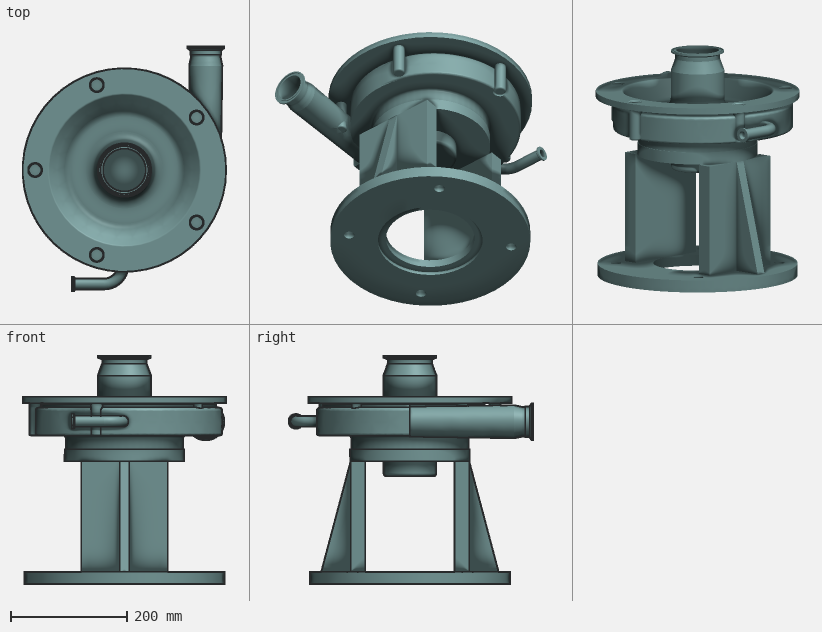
import cadquery as cq
import math


base_radius = 172.0
base_thickness = 21.0
base_bore_radius = 76.0
base_recess_radius = 90.0
base_recess_depth = 6.0
base_hole_radius = 9.0
base_hole_circle = 140.0
base_hole_angles = (45, 135, 225, 315)

leg_top = 211.0
leg_width = 149.0
leg_inner_y = 76.5
leg_outer_y = 102.0
rib_width = 16.6
rib_foot_y = 152.5

ring_radius = 103.0
ring_step_radius = 101.2
ring_step_z = 231.8
ring_flare = 4.0
hub_radius = 45.4
hub_bottom = 185.2
hub_fillet = 5.5

casing_bottom = 255.4
casing_top = 303.5
casing_top_fillet = 6.0
casing_bottom_fillet = 4.0
volute_start_radius = 137.5
volute_left_radius = 152.5
volute_front_radius = 160.0
volute_end_radius = 168.0
lid_inset = 10.0
lid_neck_inset = 13.0
lid_top = 309.0

flange_radius = 175.0
flange_bottom = 311.0
flange_top = 322.0
dish_rim_radius = 130.2
dish_depth = 32.0
dish_floor_radius = dish_rim_radius - dish_depth
dish_rim_fillet = 4.2
dish_floor_fillet = 14.5
dish_floor_z = flange_top - dish_depth

post_count = 5
post_radius = 10.0
post_circle = 153.4
post_start_angle = 36.0
post_foot_fillet = 3.0
post_notch_radius = 12.4
socket_radius = 10.8
socket_depth = 3.0
socket_chamfer = 1.4

suction_radius = 46.0
suction_root_fillet = 20.0
suction_taper_bottom = 357.9
suction_taper_top = 378.7
suction_neck_radius = 38.4
suction_ferrule_radius = 45.5
suction_ferrule_rim = 3.4
suction_ferrule_height = 6.5
suction_top = 392.5
suction_mouth_radius = 36.8
suction_mouth_bottom = 363.8
suction_chamber_radius = 38.5
suction_chamber_top = 349.5
suction_bore_floor = 270.0
groove_radius = 42.4
groove_width = 3.0
groove_depth = 1.6

outlet_x = 139.8
outlet_z = 279.0
outlet_root_radius = 26.0
outlet_body_radius = 28.7
outlet_body_end = 179.0
outlet_step_radius = 27.2
outlet_step_y = 186.5
outlet_weld_radius = 25.6
outlet_weld_start = 193.8
outlet_weld_end = 197.8
outlet_neck_radius = 26.6
outlet_ferrule_radius = 32.0
outlet_ferrule_rim = 3.0
outlet_ferrule_height = 6.5
outlet_end = 212.2
outlet_bore_radius = 23.8
outlet_groove_radius = 28.0

drain_z = 279.7
drain_radius = 9.5
drain_bore_radius = 7.0
drain_ferrule_radius = 12.7
drain_ferrule_thickness = 5.0
drain_ferrule_rim = 3.0
drain_front_y = -208.5
drain_y = drain_front_y + drain_ferrule_radius
drain_open_x = -90.2
drain_bend_start_x = -35.0
drain_bend_radius = 32.5
drain_root_y = -150.0


def cylinder(radius, bottom, top):
    return cq.Workplane("XY").workplane(offset=bottom).circle(radius).extrude(top - bottom)


def revolve_about_z(outline):
    """Revolve an outline drawn as radius and height on the XZ plane."""
    return outline.close().revolve(360, (0, 0, 0), (0, 1, 0))


def polar_points(radius, angles):
    return [(radius * math.cos(math.radians(a)), radius * math.sin(math.radians(a))) for a in angles]


post_angles = [post_start_angle + i * 360 / post_count for i in range(post_count)]
post_centres = polar_points(post_circle, post_angles)


def make_base():
    plate = cylinder(base_radius, 0, base_thickness)
    bore = cylinder(base_bore_radius, 0, base_thickness)
    recess = cylinder(base_recess_radius, 0, base_recess_depth)
    holes = (
        cq.Workplane("XY")
        .pushPoints(polar_points(base_hole_circle, base_hole_angles))
        .circle(base_hole_radius)
        .extrude(base_thickness)
    )
    return plate.cut(bore).cut(recess).cut(holes)


def make_leg(side):
    """Upright plate with a triangular rib; side is +1 for +Y and -1 for -Y."""
    plate = (
        cq.Workplane("XY")
        .workplane(offset=base_thickness)
        .center(0, side * (leg_inner_y + leg_outer_y) / 2)
        .rect(leg_width, leg_outer_y - leg_inner_y)
        .extrude(leg_top - base_thickness)
    )
    rib = (
        cq.Workplane("YZ")
        .moveTo(side * leg_outer_y, base_thickness)
        .lineTo(side * rib_foot_y, base_thickness)
        .lineTo(side * leg_outer_y, leg_top)
        .close()
        .extrude(rib_width / 2, both=True)
    )
    return plate.union(rib)


def make_bearing_ring():
    outline = (
        cq.Workplane("XZ")
        .moveTo(0, leg_top)
        .lineTo(ring_radius, leg_top)
        .lineTo(ring_radius, ring_step_z)
        .lineTo(ring_step_radius, ring_step_z)
        .lineTo(ring_step_radius, casing_bottom - ring_flare)
        .radiusArc((ring_step_radius + ring_flare, casing_bottom), ring_flare)
        .lineTo(0, casing_bottom)
    )
    hub = cylinder(hub_radius, hub_bottom, leg_top).faces("<Z").edges().fillet(hub_fillet)
    return revolve_about_z(outline).union(hub)


def make_volute(inset, bottom, top):
    """Spiral disc whose radius grows from +Y through -X and -Y to +X."""
    quarter_radii = [volute_start_radius, volute_left_radius, volute_front_radius, volute_end_radius]
    start = volute_start_radius - inset
    spiral = []
    for quarter, (near, far) in enumerate(zip(quarter_radii, quarter_radii[1:])):
        middle_angle = 90 * quarter + 135
        spiral += polar_points((near + far) / 2 - inset, [middle_angle])
        spiral += polar_points(far - inset, [middle_angle + 45])
    return (
        cq.Workplane("XY")
        .workplane(offset=bottom)
        .moveTo(0, start)
        .spline(spiral, includeCurrent=True)
        .lineTo(start, 0)
        .threePointArc(polar_points(start, [45])[0], (0, start))
        .close()
        .extrude(top - bottom)
    )


def make_casing():
    casing = make_volute(0, casing_bottom, casing_top)
    casing = casing.faces(">Z").edges("%BSPLINE").fillet(casing_top_fillet)
    casing = casing.faces("<Z").edges("%BSPLINE").fillet(casing_bottom_fillet)
    lid = make_volute(lid_inset, casing_top, lid_top)
    lid_neck = make_volute(lid_neck_inset, lid_top, flange_bottom)
    notch = cylinder(post_notch_radius, casing_bottom, flange_bottom).translate((-post_circle, 0, 0))
    return casing.union(lid).union(lid_neck).cut(notch)


def make_posts():
    return (
        cq.Workplane("XY")
        .workplane(offset=casing_bottom)
        .pushPoints(post_centres)
        .circle(post_radius)
        .extrude(flange_bottom - casing_bottom)
        .faces("<Z")
        .edges()
        .fillet(post_foot_fillet)
    )


def make_post_sockets():
    """Shallow chamfered recesses in the flange above the posts."""
    rim_radius = socket_radius + socket_chamfer
    socket = cylinder(socket_radius, flange_top - socket_depth, flange_top)
    rim = cq.Workplane("XY").add(
        cq.Solid.makeCone(
            socket_radius,
            rim_radius,
            socket_chamfer,
            pnt=cq.Vector(0, 0, flange_top - socket_chamfer),
        )
    )
    socket = socket.union(rim)
    sockets = cq.Workplane("XY")
    for x, y in post_centres:
        sockets = sockets.union(socket.translate((x, y, 0)))
    return sockets


def make_dish():
    """Ring-shaped recess between the flange rim and the suction nozzle."""
    wall_slope = math.radians(45)
    rim_tangent = dish_rim_fillet * math.tan(wall_slope / 2)
    floor_tangent = dish_floor_fillet * math.tan(wall_slope / 2)
    rim_slope = rim_tangent * math.cos(wall_slope)
    floor_slope = floor_tangent * math.cos(wall_slope)
    outline = (
        cq.Workplane("XZ")
        .moveTo(suction_radius, flange_top)
        .lineTo(suction_radius, dish_floor_z + suction_root_fillet)
        .radiusArc((suction_radius + suction_root_fillet, dish_floor_z), -suction_root_fillet)
        .lineTo(dish_floor_radius - floor_tangent, dish_floor_z)
        .radiusArc((dish_floor_radius + floor_slope, dish_floor_z + floor_slope), -dish_floor_fillet)
        .lineTo(dish_rim_radius - rim_slope, flange_top - rim_slope)
        .radiusArc((dish_rim_radius + rim_tangent, flange_top), dish_rim_fillet)
    )
    return revolve_about_z(outline)


def make_suction_nozzle():
    ferrule_base = suction_top - suction_ferrule_height
    outline = (
        cq.Workplane("XZ")
        .moveTo(0, flange_bottom)
        .lineTo(suction_radius, flange_bottom)
        .lineTo(suction_radius, suction_taper_bottom)
        .lineTo(suction_neck_radius, suction_taper_top)
        .lineTo(suction_neck_radius, ferrule_base)
        .lineTo(suction_ferrule_radius, suction_top - suction_ferrule_rim)
        .lineTo(suction_ferrule_radius, suction_top)
        .lineTo(0, suction_top)
    )
    return revolve_about_z(outline)


def make_suction_bore():
    outline = (
        cq.Workplane("XZ")
        .moveTo(0, suction_bore_floor)
        .lineTo(suction_chamber_radius, suction_bore_floor)
        .lineTo(suction_chamber_radius, suction_chamber_top)
        .lineTo(suction_mouth_radius, suction_mouth_bottom)
        .lineTo(suction_mouth_radius, suction_top)
        .lineTo(0, suction_top)
    )
    groove = (
        cq.Workplane("XY")
        .workplane(offset=suction_top - groove_depth)
        .circle(groove_radius + groove_width / 2)
        .circle(groove_radius - groove_width / 2)
        .extrude(groove_depth)
    )
    return revolve_about_z(outline).union(groove)


def place_outlet(profile):
    """Turn an outlet body built along +Z to run along +Y at its place on the volute."""
    return profile.rotate((0, 0, 0), (1, 0, 0), -90).translate((outlet_x, 0, outlet_z))


def make_outlet():
    outline = (
        cq.Workplane("XZ")
        .lineTo(outlet_root_radius, 0)
        .lineTo(outlet_body_radius, outlet_body_end)
        .lineTo(outlet_step_radius, outlet_step_y)
        .lineTo(outlet_weld_radius, outlet_weld_start)
        .lineTo(outlet_weld_radius, outlet_weld_end)
        .lineTo(outlet_neck_radius, outlet_weld_end)
        .lineTo(outlet_neck_radius, outlet_end - outlet_ferrule_height)
        .lineTo(outlet_ferrule_radius, outlet_end - outlet_ferrule_rim)
        .lineTo(outlet_ferrule_radius, outlet_end)
        .lineTo(0, outlet_end)
    )
    return place_outlet(revolve_about_z(outline))


def make_outlet_bore():
    groove = (
        cq.Workplane("XY")
        .workplane(offset=outlet_end - groove_depth)
        .circle(outlet_groove_radius + groove_width / 2)
        .circle(outlet_groove_radius - groove_width / 2)
        .extrude(groove_depth)
    )
    return place_outlet(cylinder(outlet_bore_radius, 0, outlet_end).union(groove))


def sweep_drain(radius):
    """Round bar along the drain centreline, from the open end into the casing."""
    bend_end = (drain_bend_start_x + drain_bend_radius, drain_y + drain_bend_radius)
    bend_offset = drain_bend_radius * math.sin(math.radians(45))
    bend_middle = (
        drain_bend_start_x + bend_offset,
        drain_y + drain_bend_radius - bend_offset,
    )
    path = (
        cq.Workplane("XY")
        .workplane(offset=drain_z)
        .moveTo(drain_open_x, drain_y)
        .lineTo(drain_bend_start_x, drain_y)
        .threePointArc(bend_middle, bend_end)
        .lineTo(bend_end[0], drain_root_y)
    )
    section = cq.Workplane("YZ", origin=(drain_open_x, drain_y, drain_z)).circle(radius)
    return section.sweep(path)


def make_drain():
    ferrule = (
        cq.Workplane("YZ", origin=(drain_open_x, drain_y, drain_z))
        .circle(drain_ferrule_radius)
        .extrude(drain_ferrule_thickness)
        .faces(">X")
        .edges()
        .chamfer(drain_ferrule_thickness - drain_ferrule_rim)
    )
    return sweep_drain(drain_radius).union(ferrule)


result = make_base()
for side in (1, -1):
    result = result.union(make_leg(side))
result = result.union(make_bearing_ring())
result = result.union(make_casing())
result = result.union(make_posts())
result = result.union(make_outlet())
result = result.union(make_drain())
result = result.union(cylinder(flange_radius, flange_bottom, flange_top))
result = result.cut(make_dish())
result = result.union(make_suction_nozzle())
result = result.cut(make_suction_bore())
result = result.cut(make_post_sockets())
result = result.cut(make_outlet_bore())
result = result.cut(sweep_drain(drain_bore_radius))